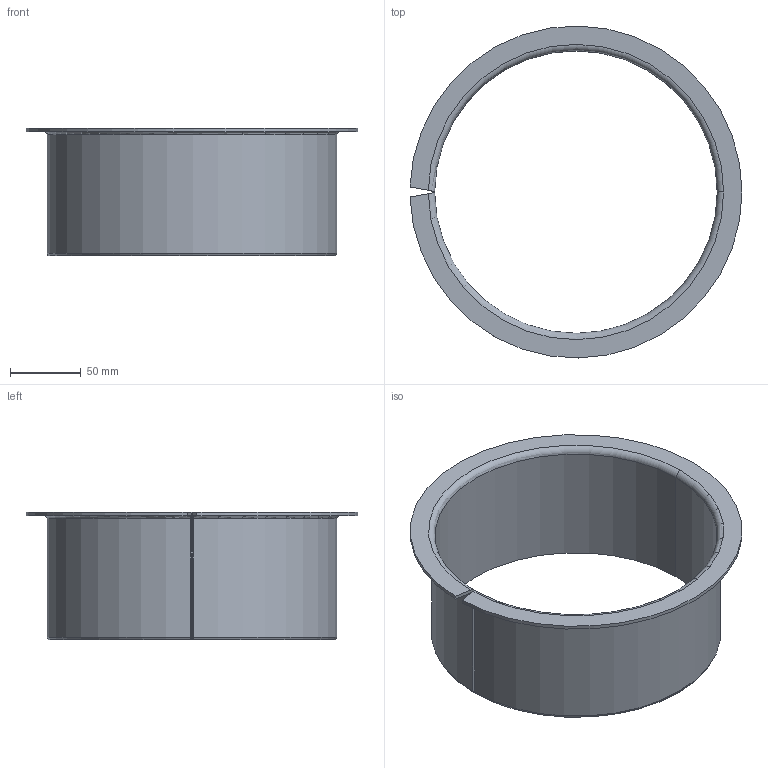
import cadquery as cq
import math

bore_diameter = 200.0
flange_diameter = 235.0
height = 90.0
wall = 2.5
bend_inside_radius = 2.0
foot_chamfer_height = 1.5
foot_chamfer_width = 0.75
gap_at_bore = 0.8
gap_at_rim = 7.0
cut_clearance = 1.0

bore_radius = bore_diameter / 2
barrel_radius = bore_radius + wall
flange_radius = flange_diameter / 2
bend_outside_radius = bend_inside_radius + wall
bend_center_radius = bore_radius + bend_outside_radius
bend_center_z = height - bend_outside_radius


def bend_middle(radius):
    """Middle of a quarter bend of the given radius, as (radius from Z, height)."""
    offset = radius * math.sqrt(0.5)
    return (bend_center_radius - offset, bend_center_z + offset)


def flanged_sleeve():
    """Thin sleeve whose top bends outwards into a flat flange, revolved about Z."""
    profile = (
        cq.Workplane("XZ")
        .moveTo(bore_radius, 0)
        .lineTo(barrel_radius - foot_chamfer_width, 0)
        .lineTo(barrel_radius, foot_chamfer_height)
        .lineTo(barrel_radius, bend_center_z)
        .threePointArc(bend_middle(bend_inside_radius), (bend_center_radius, height - wall))
        .lineTo(flange_radius, height - wall)
        .lineTo(flange_radius, height)
        .lineTo(bend_center_radius, height)
        .threePointArc(bend_middle(bend_outside_radius), (bore_radius, bend_center_z))
        .close()
    )
    return profile.revolve(360, (0, 0, 0), (0, 1, 0))


def half_gap(radius):
    """Half width of the split at a distance from the axis, widening evenly outwards."""
    slope = (gap_at_rim - gap_at_bore) / 2 / (flange_radius - bore_radius)
    return gap_at_bore / 2 + slope * (radius - bore_radius)


def split_cutter():
    """Tapered wedge on the -X side that splits barrel and flange over the full height."""
    inner = bore_radius - cut_clearance
    outer = flange_radius + cut_clearance
    return (
        cq.Workplane("XY")
        .polyline([
            (-inner, half_gap(inner)),
            (-outer, half_gap(outer)),
            (-outer, -half_gap(outer)),
            (-inner, -half_gap(inner)),
        ])
        .close()
        .extrude(height)
    )


result = flanged_sleeve().cut(split_cutter())